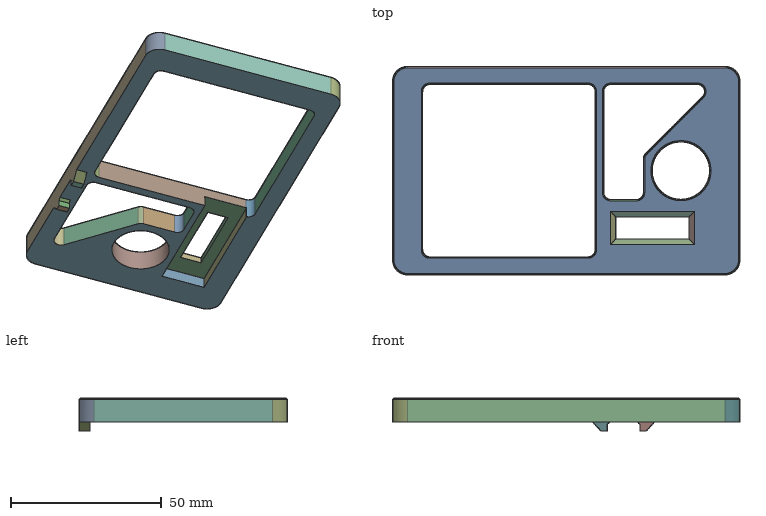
import cadquery as cq

length = 115.2
width = 69.2
thickness = 8.0
corner_radius = 5.0
edge_chamfer = 0.5

opening_corner_diameter = 4.7
opening_radius = opening_corner_diameter / 2
opening_top = 28.6
window_size = 2 * opening_top
window_center_x = -19.0
pocket_left = 12.5
pocket_neck_right = 25.6
pocket_bottom = -9.6
diagonal_offset = 20.6
hole_diameter = 19.0
hole_center_x = 38.0

slot_length = 24.2
slot_width = 7.3
slot_bevel = 1.8
slot_center = (28.6, -19.0)

recess_width = 15.0
recess_depth = 3.9

hook_center_x = 19.0
hook_drop = 3.0
hook_depth = 3.7
hook_gap = 10.8
hook_tip = 2.1
hook_flare = 0.8
hook_outer_run = 2.8


def make_plate():
    plate = cq.Workplane("XY").box(length, width, thickness, centered=(True, True, False))
    return plate.edges("|Z").fillet(corner_radius).faces(">Z").edges().chamfer(edge_chamfer)


def make_window():
    window = cq.Workplane("XY").center(window_center_x, 0).rect(window_size, window_size)
    return window.extrude(thickness).edges("|Z").fillet(opening_radius)


def make_pocket():
    points = [
        (pocket_left, pocket_bottom),
        (pocket_neck_right, pocket_bottom),
        (pocket_neck_right, pocket_neck_right - diagonal_offset),
        (opening_top + diagonal_offset, opening_top),
        (pocket_left, opening_top),
    ]
    pocket = cq.Workplane("XY").polyline(points).close().extrude(thickness)
    return pocket.edges("|Z").fillet(opening_radius)


def make_hole():
    return cq.Workplane("XY").center(hole_center_x, 0).circle(hole_diameter / 2).extrude(thickness)


def make_slot():
    slot = cq.Workplane("XY").center(*slot_center).rect(slot_length, slot_width).extrude(thickness)
    mouth = (
        cq.Workplane("XY", origin=(*slot_center, thickness))
        .rect(slot_length + 2 * slot_bevel, slot_width + 2 * slot_bevel)
        .extrude(-slot_bevel, taper=45)
    )
    return slot.union(mouth)


def make_recess():
    window_right = window_center_x + window_size / 2
    recess_length = 2 * (slot_center[0] - window_right)
    return (
        cq.Workplane("XY")
        .center(*slot_center)
        .rect(recess_length, recess_width)
        .extrude(recess_depth)
    )


def make_hook(side):
    inner = hook_gap / 2
    outer = inner + hook_tip
    points = [
        (inner - hook_flare, 0),
        (inner, -hook_flare),
        (inner, -hook_drop),
        (outer, -hook_drop),
        (outer + hook_outer_run, 0),
    ]
    outline = [(hook_center_x + side * x, z) for x, z in points]
    return cq.Workplane("XZ", origin=(0, width / 2, 0)).polyline(outline).close().extrude(hook_depth)


def make_plate_with_openings():
    plate = make_plate()
    for opening in (make_window(), make_pocket(), make_hole()):
        plate = plate.cut(opening)
    top_face = plate.faces(">Z").val()
    rims = [edge for wire in top_face.innerWires() for edge in wire.Edges()]
    return plate.newObject(rims).chamfer(edge_chamfer)


result = make_plate_with_openings().cut(make_slot()).cut(make_recess())
for side in (-1, 1):
    result = result.union(make_hook(side))